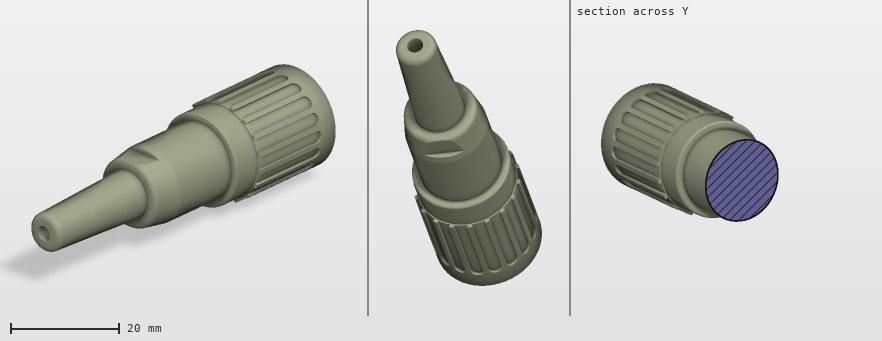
import cadquery as cq

TOTAL_LENGTH = 68.5
KNOB_END_Y = TOTAL_LENGTH / 2

KNOB_LENGTH = 20.55
COLLAR_END = 26.2
BARREL_END = 39.8
FLAT_START = 41.25
TAPER_END = 45.7

KNOB_RADIUS = 20.0 / 2
COLLAR_RADIUS = 18.4 / 2
BARREL_RADIUS = 15.5 / 2
TAPER_END_RADIUS = 13.55 / 2
NOZZLE_ROOT_RADIUS = 9.6 / 2
NOZZLE_TIP_RADIUS = 7.55 / 2
BORE_DIAMETER = 3.0

KNOB_FILLET = 0.3
COLLAR_FILLET = 0.4
TAPER_FILLET = 0.95
TIP_FILLET = 1.15

GROOVE_COUNT = 18
GROOVE_WIDTH = 2.5
GROOVE_DEPTH = 0.55
GROOVE_START = 4.0
GROOVE_OFFSET_ANGLE = 6.8

FLAT_HALF_SPACING = 6.5
BORE_DEPTH = 6.85


def axial(distance):
    """Y coordinate at a distance from the knob end face."""
    return KNOB_END_Y - distance


def tapered_section(start, end, start_radius, end_radius):
    """Solid of revolution about Y between two distances from the knob end face."""
    return (
        cq.Workplane("XY")
        .moveTo(0, axial(start))
        .lineTo(start_radius, axial(start))
        .lineTo(end_radius, axial(end))
        .lineTo(0, axial(end))
        .close()
        .revolve(360, (0, 0, 0), (0, 1, 0))
    )


def grip_groove(angle):
    """Round-ended groove cutter with a curved floor, turned about Y by an angle from +Z."""
    radius = GROOVE_WIDTH / 2
    round_center = GROOVE_START + radius
    slot = (
        cq.Workplane("XY")
        .moveTo(-radius, axial(KNOB_LENGTH))
        .lineTo(-radius, axial(round_center))
        .threePointArc((0, axial(GROOVE_START)), (radius, axial(round_center)))
        .lineTo(radius, axial(KNOB_LENGTH))
        .close()
        .extrude(KNOB_RADIUS)
    )
    floor_radius = KNOB_RADIUS - GROOVE_DEPTH
    floor = tapered_section(0, KNOB_LENGTH, floor_radius, floor_radius)
    return slot.cut(floor).rotate((0, 0, 0), (0, 1, 0), angle)


def grooved_knob():
    """Knob with a rounded end and evenly spaced grooves open toward the collar."""
    knob = tapered_section(0, KNOB_LENGTH, KNOB_RADIUS, KNOB_RADIUS)
    knob = knob.faces(">Y").edges().fillet(KNOB_FILLET)
    for index in range(GROOVE_COUNT):
        knob = knob.cut(grip_groove(GROOVE_OFFSET_ANGLE + index * 360 / GROOVE_COUNT))
    return knob


def flatted_taper():
    """Tapered end of the barrel with a flat on the +Z and -Z sides."""
    taper = tapered_section(BARREL_END, TAPER_END, BARREL_RADIUS, TAPER_END_RADIUS)
    taper = taper.faces("<Y").edges().fillet(TAPER_FILLET)
    flat_length = TAPER_END - FLAT_START
    flat_height = BARREL_RADIUS - FLAT_HALF_SPACING
    center_y = axial(FLAT_START + flat_length / 2)
    for side in (1, -1):
        center_z = side * (FLAT_HALF_SPACING + flat_height / 2)
        cutter = cq.Workplane("XY").box(2 * BARREL_RADIUS, flat_length, flat_height)
        taper = taper.cut(cutter.translate((0, center_y, center_z)))
    return taper


def bored_nozzle():
    """Tapered nozzle with a rounded tip and a blind bore."""
    nozzle = tapered_section(TAPER_END, TOTAL_LENGTH, NOZZLE_ROOT_RADIUS, NOZZLE_TIP_RADIUS)
    nozzle = nozzle.faces("<Y").edges().fillet(TIP_FILLET)
    return nozzle.faces("<Y").workplane(centerOption="CenterOfMass").hole(BORE_DIAMETER, BORE_DEPTH)


collar = tapered_section(KNOB_LENGTH, COLLAR_END, COLLAR_RADIUS, COLLAR_RADIUS)
collar = collar.faces("<Y").edges().fillet(COLLAR_FILLET)
barrel = tapered_section(COLLAR_END, BARREL_END, BARREL_RADIUS, BARREL_RADIUS)

result = grooved_knob().union(collar).union(barrel).union(flatted_taper()).union(bored_nozzle())